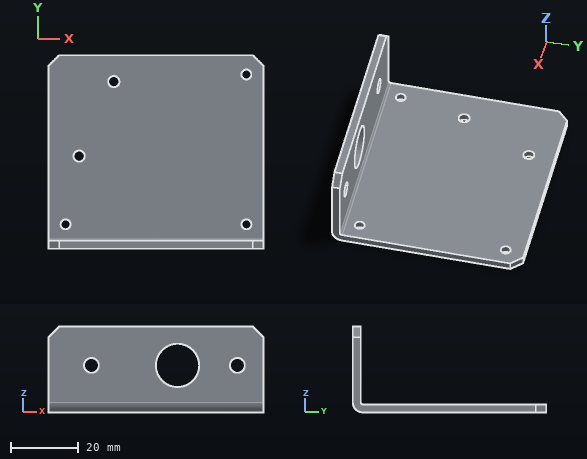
import cadquery as cq

width = 63.5
depth = 57.15
height = 25.4

thickness = 2.4
inner_bend_radius = 0.65
outer_bend_radius = inner_bend_radius + thickness
corner_chamfer = 3.2

small_hole_diameter = 2.85
small_hole_inset = 5.1
small_hole_front = 7.25
small_hole_back = 51.45
large_hole_diameter = 3.25
large_hole_points = [(9.1, 27.4), (19.3, 49.35)]

flange_hole_height = 13.9
window_diameter = 12.7
window_x = 38.1
screw_hole_diameter = 4.3
screw_hole_spacing = 43.05
screw_hole_left = 12.7


def make_bent_sheet():
    """L profile with a rounded bend, extruded along X from the left side."""
    profile = (
        cq.Workplane("YZ")
        .moveTo(0, 0)
        .lineTo(depth, 0)
        .lineTo(depth, thickness)
        .lineTo(thickness, thickness)
        .lineTo(thickness, height)
        .lineTo(0, height)
        .close()
    )
    sheet = profile.extrude(width)
    outer_edge = cq.selectors.NearestToPointSelector((width / 2, 0, 0))
    inner_edge = cq.selectors.NearestToPointSelector((width / 2, thickness, thickness))
    sheet = sheet.edges(outer_edge).fillet(outer_bend_radius)
    return sheet.edges(inner_edge).fillet(inner_bend_radius)


def chamfer_free_corners(sheet):
    """Cut the two corners at the back of the base and at the top of the flange."""
    sheet = sheet.faces(">Y").edges("|Z").chamfer(corner_chamfer)
    return sheet.faces(">Z").edges("|Y").chamfer(corner_chamfer)


def base_holes(points, diameter):
    """Vertical cutters through the base at (x, y) points."""
    return cq.Workplane("XY").pushPoints(points).circle(diameter / 2).extrude(thickness)


def flange_holes(x_places, diameter):
    """Horizontal cutters through the flange at the shared hole level."""
    points = [(x, flange_hole_height) for x in x_places]
    return cq.Workplane("XZ").pushPoints(points).circle(diameter / 2).extrude(-thickness)


small_hole_points = [
    (small_hole_inset, small_hole_front),
    (width - small_hole_inset, small_hole_front),
    (width - small_hole_inset, small_hole_back),
]
screw_hole_places = [screw_hole_left, screw_hole_left + screw_hole_spacing]

result = chamfer_free_corners(make_bent_sheet())
result = result.cut(base_holes(small_hole_points, small_hole_diameter))
result = result.cut(base_holes(large_hole_points, large_hole_diameter))
result = result.cut(flange_holes([window_x], window_diameter))
result = result.cut(flange_holes(screw_hole_places, screw_hole_diameter))